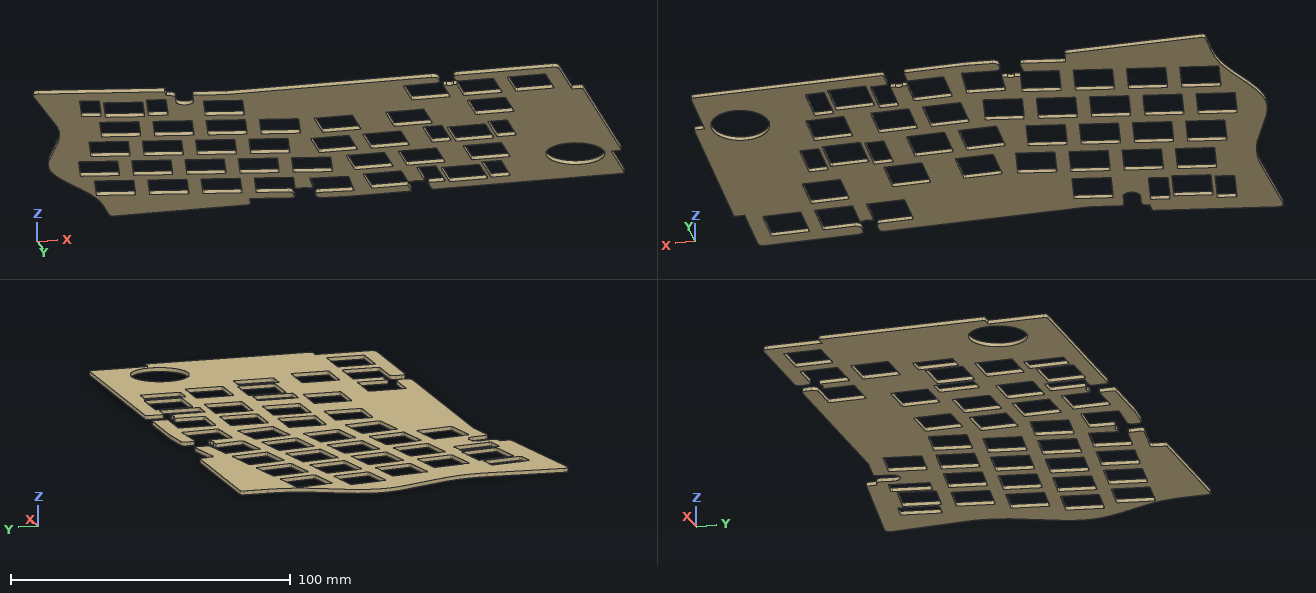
import math

import cadquery as cq


THICKNESS = 1.5
OVERALL_X = 203.59
OVERALL_Y = 122.49
RIGHT_X = OVERALL_X / 2
LEFT_X = -OVERALL_X / 2
TOP_Y = OVERALL_Y / 2

PITCH = 19.05
SWITCH_SIZE = 14.0
CUTOUT_CORNER = 0.5
OVERLAP = 1.0
STABILIZER_WIDTH = 7.0
STABILIZER_LENGTH = 15.0
STABILIZER_SPACING = 23.88
STABILIZER_DROP = 1.5
BORDER = 6.03
KEY_TO_EDGE = SWITCH_SIZE / 2 + BORDER

NUMBER_ROW_Y = TOP_Y - KEY_TO_EDGE
NUMBER_LAST_X = 42.0
UPPER_LAST_X = 54.5
LOWER_LAST_X = 34.8
HOME_ROW_Y = NUMBER_ROW_Y - 2 * PITCH
HOME_LAST_X = 52.98
LAST_KEY_X = 84.87
ARROW_DROP = 0.25
BOTTOM_ROW_Y = NUMBER_ROW_Y - (4 + ARROW_DROP) * PITCH
BOTTOM_Y = BOTTOM_ROW_Y - KEY_TO_EDGE
EDGE_X = LAST_KEY_X + KEY_TO_EDGE
STRAIGHT_ROWS = [
    (NUMBER_ROW_Y, NUMBER_LAST_X, [-1.5, 0]),
    (NUMBER_ROW_Y - PITCH, UPPER_LAST_X, [-2.25, -1.25, 0]),
    (HOME_ROW_Y, HOME_LAST_X, [-2.625, -1.625, 0]),
    (NUMBER_ROW_Y - 3 * PITCH, LOWER_LAST_X, [-1.375, 0]),
    (BOTTOM_ROW_Y + PITCH, LAST_KEY_X, [-1]),
    (BOTTOM_ROW_Y, LAST_KEY_X, [-2, -1, 0]),
]
STRAIGHT_STABILIZED = [
    (NUMBER_LAST_X, NUMBER_ROW_Y),
    (HOME_LAST_X, HOME_ROW_Y),
]

TILT = 10.0
TILT_ORIGIN = (-62.68, -39.40)
TILTED_ROWS = [
    [0, 1.875],
    [-0.125 + column for column in range(4)],
    [-0.375 + column for column in range(4)],
    [-0.625 + column for column in range(5)],
    [-0.375 + column for column in range(4)],
]

BRIDGE_TILT = 5.0
BRIDGE_KEY = (-6.7, 48.5)

KNOB_DIAMETER = 21.0
KNOB_CENTER = (84.88, 38.6)
TAB_TOP_Y = 39.2
TAB_BOTTOM_Y = -23.4

SHOULDER = (-90.95, 51.0)
UPPER_FLANK = (-97.2, 28.5)
BULGE = (LEFT_X, 12.3)
LOWER_FLANK = (-96.95, -4.0)
WAIST = (-89.85, -31.0)
FOOT_X = -91.55

LOWER_EDGE_DROP = 16.9
LOWER_STEP_X = -44.7
TOP_STEP_X = -39.5
TOP_STEP_LEAN = 1.0

LEFT_ARM_X = -22.2
BRIDGE_ARM_X = -14.7
BRIDGE_EDGE_RISE = 12.4
LEFT_POST_TOP = (-17.1, 49.8)
LEFT_POST_TILT = (TILT + BRIDGE_TILT) / 2

TOP_GAP_X = (19.7, 27.1)
TOP_POST_TOP = (23.47, 52.3)
BOTTOM_GAP_X = (53.55, 59.2)
BOTTOM_POST_TIP = (LAST_KEY_X - 1.5 * PITCH, -37.2)

DIP_RADIUS = 1.6
DIP_DEPTH = 0.6

SLOT_ALONG = 22.05
SLOT_UP = -6.8
SLOT_WIDTH = 6.2

SMALL_RADIUS = 0.8
CORNER_RADIUS = 1.2
FOOT_RADIUS = 2.0
ARM_RADIUS = 2.0


def turned_point(origin, angle, along, up):
    """Point at a distance along and up from an origin, in directions turned by an angle in degrees."""
    radians = math.radians(angle)
    x = origin[0] + along * math.cos(radians) - up * math.sin(radians)
    y = origin[1] + along * math.sin(radians) + up * math.cos(radians)
    return (x, y)


def tilted_point(along, up):
    """Point at a distance along and up from the tilt origin, in the left block's own directions."""
    return turned_point(TILT_ORIGIN, TILT, along, up)


def line_y(point, angle, x):
    """Height at x of the line through a point at an angle in degrees."""
    return point[1] + (x - point[0]) * math.tan(math.radians(angle))


def line_x(point, angle, y):
    """Place where the line through a point at an angle in degrees reaches the height y."""
    return point[0] + (y - point[1]) / math.tan(math.radians(angle))


def edge_point(up, x):
    """Point at x on the tilted line that runs at a distance up from the tilt origin."""
    return (x, line_y(tilted_point(0, up), TILT, x))


def block(center, size_x, size_y, angle=0.0, corner=0.0):
    """Through-cutter of rectangular section turned about its centre."""
    body = cq.Workplane("XY").box(size_x, size_y, THICKNESS, centered=(True, True, False))
    if corner > 0:
        body = body.edges("|Z").fillet(corner)
    return body.rotate((0, 0, 0), (0, 0, 1), angle).translate((center[0], center[1], 0))


def span(x_min, x_max, y_min, y_max):
    """Through-cutter between two X and two Y limits."""
    center = ((x_min + x_max) / 2, (y_min + y_max) / 2)
    return block(center, x_max - x_min, y_max - y_min)


def switch(center, angle=0.0):
    return block(center, SWITCH_SIZE, SWITCH_SIZE, angle, CUTOUT_CORNER)


def stabilizer(center, angle=0.0):
    return block(center, STABILIZER_WIDTH, STABILIZER_LENGTH, angle, CUTOUT_CORNER)


def bridge_point(along, up):
    """Point at a distance along and up from the bridge key's centre, in that key's own directions."""
    return turned_point(BRIDGE_KEY, BRIDGE_TILT, along, up)


def make_outline():
    """Plate without cutouts and gaps, with sharp corners."""
    foot_direction = (FOOT[0] - WAIST[0], FOOT[1] - WAIST[1])
    return (
        cq.Workplane("XY")
        .moveTo(*SHOULDER)
        .spline(
            [UPPER_FLANK, BULGE, LOWER_FLANK, WAIST],
            tangents=[(0, -1), foot_direction],
            includeCurrent=True,
        )
        .lineTo(*FOOT)
        .lineTo(*LOWER_EDGE_END)
        .lineTo(*LOWER_STEP)
        .lineTo(*BOTTOM_BEND)
        .lineTo(EDGE_X, BOTTOM_Y)
        .lineTo(EDGE_X, TAB_BOTTOM_Y)
        .lineTo(RIGHT_X, TAB_BOTTOM_Y)
        .lineTo(RIGHT_X, TAB_TOP_Y)
        .lineTo(EDGE_X, TAB_TOP_Y)
        .lineTo(EDGE_X, TOP_Y)
        .lineTo(*BRIDGE_BEND)
        .lineTo(*BRIDGE_TIP)
        .lineTo(*LEFT_ARM_TIP)
        .lineTo(*TOP_STEP_FOOT)
        .lineTo(TOP_STEP_X, TOP_Y)
        .lineTo(SHOULDER[0], TOP_Y)
        .close()
        .extrude(THICKNESS)
    )


def cut_keys(plate):
    """Switch and stabiliser cutouts of all three key groups."""
    for y, last_x, positions in STRAIGHT_ROWS:
        for position in positions:
            plate = plate.cut(switch((last_x + position * PITCH, y)))
    for row, positions in enumerate(TILTED_ROWS):
        for position in positions:
            plate = plate.cut(switch(tilted_point(position * PITCH, row * PITCH), TILT))
    plate = plate.cut(switch(BRIDGE_KEY, BRIDGE_TILT))
    for offset in (-STABILIZER_SPACING / 2, STABILIZER_SPACING / 2):
        for x, y in STRAIGHT_STABILIZED:
            plate = plate.cut(stabilizer((x + offset, y - STABILIZER_DROP)))
        plate = plate.cut(stabilizer(tilted_point(offset, -STABILIZER_DROP), TILT))
    return plate


def cut_dip(plate, post_end, angle):
    """Shallow dip in a post end; the angle is the direction in which the post points."""
    center = turned_point(post_end, angle, DIP_RADIUS - DIP_DEPTH, 0)
    return plate.cut(cq.Workplane("XY").center(*center).circle(DIP_RADIUS).extrude(THICKNESS))


def cut_left_gap(plate):
    """Gap between the left arm and the bridge arm, down to the tilted post."""
    post_left = (LEFT_ARM_X, line_y(LEFT_POST_TOP, LEFT_POST_TILT, LEFT_ARM_X))
    inside_x = bridge_point(-SWITCH_SIZE / 2 + OVERLAP, 0)[0]
    post_right = (inside_x, line_y(LEFT_POST_TOP, LEFT_POST_TILT, inside_x))
    cutter = (
        cq.Workplane("XY")
        .polyline(
            [
                (LEFT_ARM_X, TOP_Y),
                post_left,
                post_right,
                bridge_point(-SWITCH_SIZE / 2 + OVERLAP, SWITCH_SIZE / 2),
                BRIDGE_ARM_FOOT,
                (BRIDGE_ARM_X, TOP_Y),
            ]
        )
        .close()
        .extrude(THICKNESS)
    )
    return cut_dip(plate.cut(cutter), LEFT_POST_TOP, 90 + LEFT_POST_TILT)


def cut_right_gaps(plate):
    """Gaps through the top and bottom edges of the straight block, each down to its post."""
    plate = plate.cut(span(*TOP_GAP_X, TOP_POST_TOP[1], TOP_Y))
    plate = plate.cut(span(*BOTTOM_GAP_X, BOTTOM_Y, BOTTOM_POST_TIP[1]))
    left, right = BOTTOM_GAP_X
    plate = plate.cut(span(left - OVERLAP, right + OVERLAP, BOTTOM_CUTOUT_Y, BOTTOM_POST_TIP[1]))
    plate = cut_dip(plate, TOP_POST_TOP, 90)
    return cut_dip(plate, BOTTOM_POST_TIP, -90)


def cut_slot(plate):
    """Tilted slot with a round end, open at the lower edge of the left block."""
    length = SLOT_UP + KEY_TO_EDGE + SLOT_WIDTH
    plate = plate.cut(block(tilted_point(SLOT_ALONG, SLOT_UP - length / 2), SLOT_WIDTH, length, TILT))
    round_end = cq.Workplane("XY").center(*tilted_point(SLOT_ALONG, SLOT_UP)).circle(SLOT_WIDTH / 2)
    return plate.cut(round_end.extrude(THICKNESS))


def cut_knob_hole(plate):
    return plate.cut(cq.Workplane("XY").center(*KNOB_CENTER).circle(KNOB_DIAMETER / 2).extrude(THICKNESS))


def round_corners(plate, radius, corners):
    """Round the upright edges that stand at the given corners."""
    for x, y in corners:
        nearest = cq.selectors.NearestToPointSelector((x, y, THICKNESS / 2))
        plate = plate.edges("|Z").edges(nearest).fillet(radius)
    return plate


FOOT = edge_point(-LOWER_EDGE_DROP, FOOT_X)
LOWER_EDGE_END = edge_point(-LOWER_EDGE_DROP, LOWER_STEP_X)
LOWER_STEP = edge_point(-KEY_TO_EDGE, LOWER_STEP_X)
BOTTOM_BEND = (line_x(LOWER_STEP, TILT, BOTTOM_Y), BOTTOM_Y)
TILTED_TOP = (len(TILTED_ROWS) - 1) * PITCH + KEY_TO_EDGE
TOP_STEP_FOOT = edge_point(TILTED_TOP, TOP_STEP_X + TOP_STEP_LEAN)
LEFT_ARM_TIP = edge_point(TILTED_TOP, LEFT_ARM_X)
LEFT_ARM_FOOT = edge_point(TILTED_TOP - BORDER, LEFT_ARM_X)
BRIDGE_EDGE = bridge_point(0, BRIDGE_EDGE_RISE)
BRIDGE_TIP = (BRIDGE_ARM_X, line_y(BRIDGE_EDGE, BRIDGE_TILT, BRIDGE_ARM_X))
BRIDGE_BEND = (line_x(BRIDGE_EDGE, BRIDGE_TILT, TOP_Y), TOP_Y)
BRIDGE_ARM_FOOT = (BRIDGE_ARM_X, line_y(bridge_point(0, SWITCH_SIZE / 2), BRIDGE_TILT, BRIDGE_ARM_X))
BOTTOM_CUTOUT_Y = BOTTOM_ROW_Y - SWITCH_SIZE / 2
TOP_SLOT_Y = NUMBER_ROW_Y - STABILIZER_DROP + STABILIZER_LENGTH / 2

SMALL_CORNERS = [
    (TOP_STEP_X, TOP_Y),
    TOP_STEP_FOOT,
    (TOP_GAP_X[0], TOP_Y),
    (TOP_GAP_X[1], TOP_Y),
    (TOP_GAP_X[1], TOP_SLOT_Y),
    (RIGHT_X, TAB_TOP_Y),
    (RIGHT_X, TAB_BOTTOM_Y),
]
PLATE_CORNERS = [
    (SHOULDER[0], TOP_Y),
    (EDGE_X, TOP_Y),
    LEFT_ARM_TIP,
    LEFT_ARM_FOOT,
    tilted_point(SLOT_ALONG + SLOT_WIDTH / 2, -KEY_TO_EDGE),
]
FOOT_CORNERS = [
    FOOT,
    (EDGE_X, BOTTOM_Y),
    tilted_point(SLOT_ALONG - SLOT_WIDTH / 2, -KEY_TO_EDGE),
]
ARM_CORNERS = [BRIDGE_TIP, BRIDGE_ARM_FOOT]
for gap_x in BOTTOM_GAP_X:
    ARM_CORNERS += [(gap_x, BOTTOM_Y), (gap_x, BOTTOM_CUTOUT_Y)]

result = make_outline()
result = cut_keys(result)
result = cut_left_gap(result)
result = cut_right_gaps(result)
result = cut_slot(result)
result = cut_knob_hole(result)
result = round_corners(result, SMALL_RADIUS, SMALL_CORNERS)
result = round_corners(result, CORNER_RADIUS, PLATE_CORNERS)
result = round_corners(result, FOOT_RADIUS, FOOT_CORNERS)
result = round_corners(result, ARM_RADIUS, ARM_CORNERS)